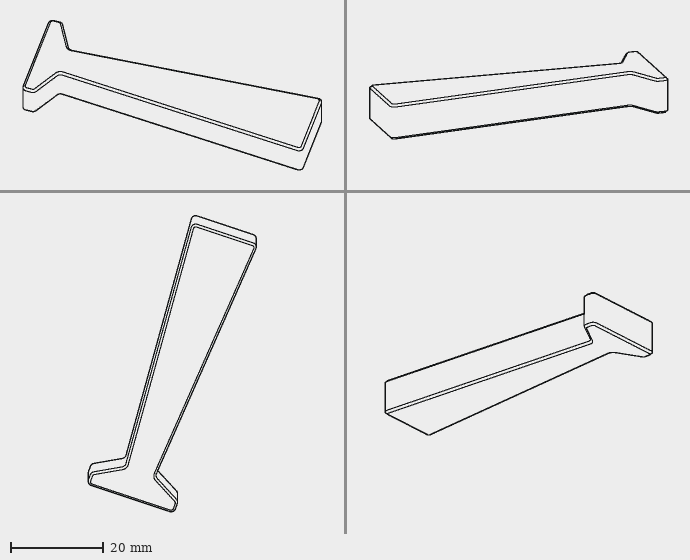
import cadquery as cq

length = 63.0
head_width = 20.0
thickness = 8.0

shank_start_width = 6.0
shank_end_width = 15.0

head_tip_thickness = 2.85
head_root_x = 6.5

corner_radius = 1.0
edge_chamfer = 0.5


def shank_half_width(x):
    """Half width of the shank at distance x from the head face."""
    return (shank_start_width + (shank_end_width - shank_start_width) * x / length) / 2


upper_outline = [
    (0, head_width / 2),
    (head_tip_thickness, head_width / 2),
    (head_root_x, shank_half_width(head_root_x)),
    (length, shank_half_width(length)),
]
lower_outline = [(x, -y) for x, y in reversed(upper_outline)]

body = cq.Workplane("XY").polyline(upper_outline + lower_outline).close().extrude(thickness)

body = body.edges("|Z").fillet(corner_radius)

result = body.faces("<Z or >Z").edges().chamfer(edge_chamfer)